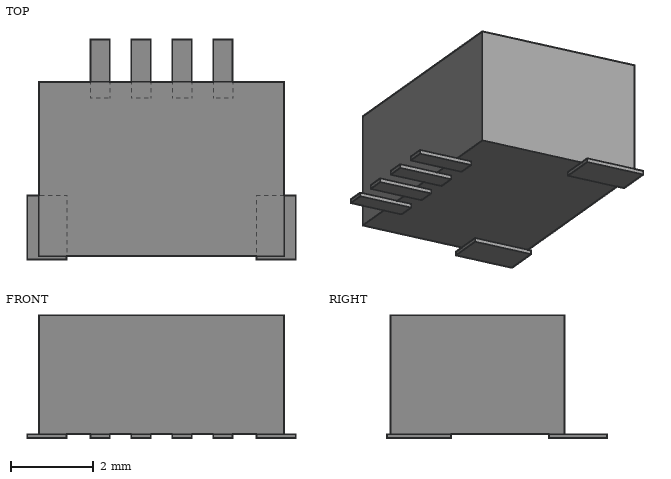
import cadquery as cq

overall_width = 6.56
overall_depth = 5.37
overall_height = 3.0

terminal_thickness = 0.1
contact_count = 4
contact_pitch = 1.0
contact_width = 0.48
contact_length = 1.425
tab_width = 0.965
tab_length = 1.57

housing_width = 5.98
housing_front = 0.085
contact_overhang = 1.035
housing_depth = overall_depth - contact_overhang - housing_front
housing_height = overall_height - terminal_thickness


def make_block(width, depth, height, center_x, front_y, bottom_z):
    """Plain block placed by its X centre, front face and underside."""
    block = cq.Workplane("XY").box(width, depth, height, centered=(True, False, False))
    return block.translate((center_x, front_y, bottom_z))


def make_housing():
    return make_block(housing_width, housing_depth, housing_height, 0, housing_front, terminal_thickness)


def make_contact(index):
    """One signal contact reaching out behind the housing."""
    center_x = (index - (contact_count - 1) / 2) * contact_pitch
    front_y = overall_depth - contact_length
    return make_block(contact_width, contact_length, terminal_thickness, center_x, front_y, 0)


def make_mounting_tab(side):
    """Solder tab at a front corner; side is -1 for left and +1 for right."""
    center_x = side * (overall_width - tab_width) / 2
    return make_block(tab_width, tab_length, terminal_thickness, center_x, 0, 0)


housing = make_housing()
contacts = [make_contact(index) for index in range(contact_count)]
mounting_tabs = [make_mounting_tab(side) for side in (-1, 1)]

result = cq.Compound.makeCompound(
    [
        housing.val(),
        *[contact.val() for contact in contacts],
        *[tab.val() for tab in mounting_tabs],
    ]
)